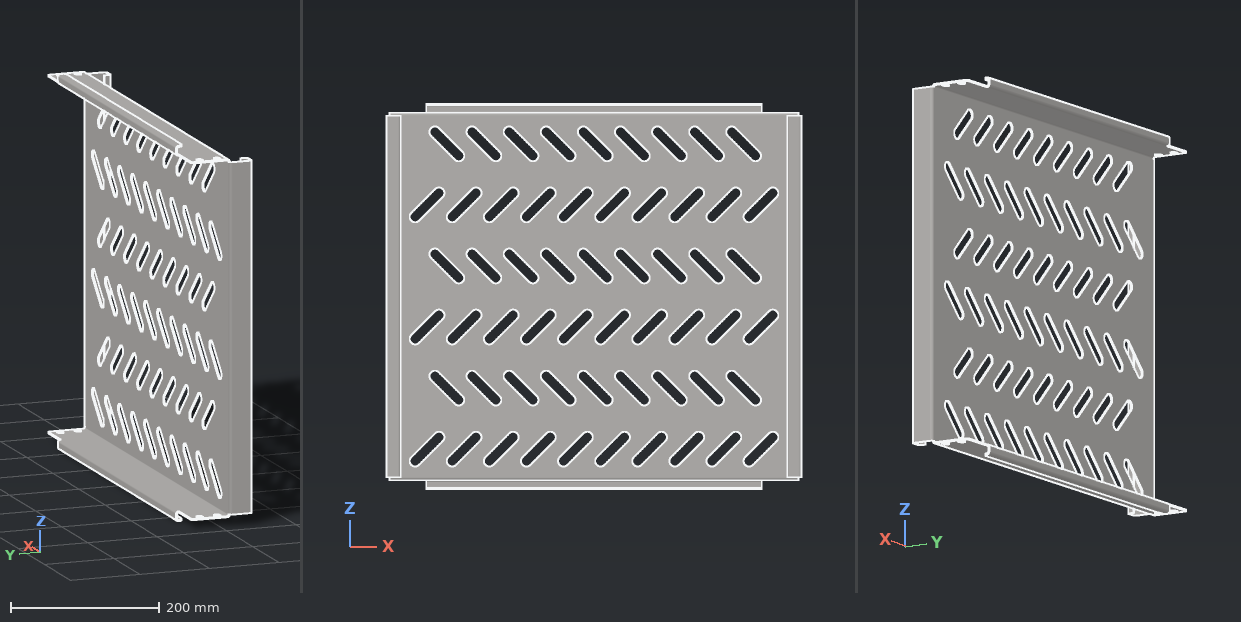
import cadquery as cq
import math

width = 560.0
depth = 90.0
height = 520.0

sheet = 2.0
outer_bend = 4.05
inner_bend = outer_bend - sheet

channel_depth = 33.0
channel_base = 19.5
channel_lip = 10.0

flange_height = 496.0
flange_width = width - 2 * outer_bend
flange_corner = 3.5

hem_width = 453.0
hem_return = 10.5
hem_corner = 8.0

slot_width = 14.5
slot_length = 60.0
slot_angle = 45
long_row_span = 450.0
row_pitch = 82.5
short_row_count = 9
long_row_count = 10
row_count = 6
slot_pitch = long_row_span / (long_row_count - 1)
short_row_shift = 1.5

mount_length = 12.0
mount_width = 8.0
mount_x = 267.0
mount_pitch = 25.0
mount_back_gap = 19.0

panel_height = flange_height - 2 * outer_bend
flange_back = depth - outer_bend


def bent_sheet(plane, face, length):
    """Extrude a folded sheet, from the points of one face, thickened to the left of travel."""
    steps = [(b[0] - a[0], b[1] - a[1]) for a, b in zip(face, face[1:])]
    normals = [(-dy / math.hypot(dx, dy), dx / math.hypot(dx, dy)) for dx, dy in steps]

    offsets = [normals[0]]
    turns = []
    for before, after in zip(normals, normals[1:]):
        offsets.append((before[0] + after[0], before[1] + after[1]))
        turns.append(before[0] * after[1] - before[1] * after[0])
    offsets.append(normals[-1])
    other = [(p[0] + sheet * o[0], p[1] + sheet * o[1]) for p, o in zip(face, offsets)]

    body = cq.Workplane(plane).polyline(face + other[::-1]).close().extrude(length / 2, both=True)
    for index, turn in enumerate(turns, start=1):
        face_radius, other_radius = (outer_bend, inner_bend) if turn > 0 else (inner_bend, outer_bend)
        for point, radius in ((face[index], face_radius), (other[index], other_radius)):
            spot = cq.Plane.named(plane).toWorldCoords(point)
            body = body.edges(cq.selectors.NearestToPointSelector(spot)).fillet(radius)
    return body


def panel_with_channels():
    edge = width / 2
    right = [
        (edge - channel_base, channel_lip),
        (edge - channel_base, 0),
        (edge, 0),
        (edge, channel_depth),
    ]
    left = [(-x, y) for x, y in reversed(right)]
    return bent_sheet("XY", right + left, panel_height)


def mount_slots():
    outer_y = depth - mount_back_gap
    spots = [(x, y) for x in (-mount_x, mount_x) for y in (outer_y, outer_y - mount_pitch)]
    return (
        cq.Workplane("XY")
        .pushPoints(spots)
        .slot2D(mount_length, mount_width)
        .extrude(height / 2)
    )


def upper_flange():
    underside = flange_height / 2 - sheet
    section = [
        (channel_depth, panel_height / 2 - sheet),
        (channel_depth, underside),
        (depth, underside),
        (depth, height / 2),
        (depth - hem_return, height / 2),
    ]
    strip = bent_sheet("YZ", section, flange_width)

    flange_blank = (
        cq.Workplane("XY")
        .box(flange_width, flange_back, flange_height / 2, centered=(True, False, False))
        .edges("|Z and >Y")
        .fillet(flange_corner)
    )
    hem_blank = cq.Workplane("XY").box(hem_width, depth, height, centered=(True, False, False))
    return_blank = (
        cq.Workplane("XY", origin=(0, depth - hem_return, 0))
        .box(hem_width, 2 * hem_return, height, centered=(True, False, False))
        .edges("|Z and <Y")
        .fillet(hem_corner)
    )
    below_return = cq.Workplane("XY").box(width, 2 * depth, height - 3 * sheet)
    blank = flange_blank.union(hem_blank.intersect(below_return)).union(return_blank)
    return strip.intersect(blank).cut(mount_slots())


def cut_slot_row(body, z, count, shift, angle):
    spots = [(shift + (i - (count - 1) / 2) * slot_pitch, z) for i in range(count)]
    slots = cq.Workplane("XZ").pushPoints(spots).slot2D(slot_length, slot_width, angle).extrude(-depth)
    return body.cut(slots)


panel = panel_with_channels()
for row in range(row_count):
    row_z = ((row_count - 1) / 2 - row) * row_pitch
    if row % 2 == 0:
        panel = cut_slot_row(panel, row_z, short_row_count, short_row_shift, -slot_angle)
    else:
        panel = cut_slot_row(panel, row_z, long_row_count, 0, slot_angle)

flange = upper_flange()
result = panel.union(flange).union(flange.mirror("XY"))